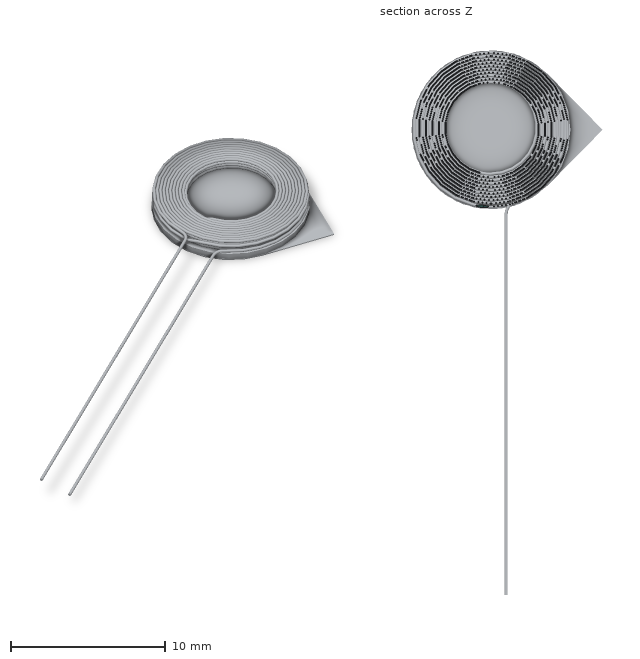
import cadquery as cq
import math

disc_diameter = 10.3
disc_radius = disc_diameter / 2
film_thickness = 0.09
film_tip_x = 7.25
disc_thickness = 0.45
disc_top = film_thickness + disc_thickness

wire_diameter = 0.2
winding_pitch = 0.2
layer_count = 4
turns_per_layer = 10
outer_winding_radius = 5.05
coil_center_y = 0.07
first_layer_z = disc_top + wire_diameter / 2
last_layer = layer_count - 1

turn_start = -math.pi / 2
turn_middle = math.pi / 2
turn_end = 3 * math.pi / 2
climb_angle = math.radians(14)

lead_x = 1.0
lead_bend_radius = 0.7
lead_end_y = disc_radius - 35.3
tinned_length = 5.0


def make_film():
    """Disc outline drawn out along two tangents to a tip on the +X axis."""
    tangent_x = disc_radius**2 / film_tip_x
    tangent_y = math.sqrt(disc_radius**2 - tangent_x**2)
    return (
        cq.Workplane("XY")
        .moveTo(film_tip_x, 0)
        .lineTo(tangent_x, tangent_y)
        .threePointArc((-disc_radius, 0), (tangent_x, -tangent_y))
        .close()
        .extrude(film_thickness)
    )


def make_disc():
    return cq.Workplane("XY", origin=(0, 0, film_thickness)).circle(disc_radius).extrude(disc_thickness)


def layer_z(layer):
    return first_layer_z + layer * winding_pitch


def arc_point(center_y, radius, angle, z):
    return cq.Vector(radius * math.cos(angle), center_y + radius * math.sin(angle), z)


def travel_direction(angle):
    return cq.Vector(-math.sin(angle), math.cos(angle), 0)


def make_arc(center_y, radius, start, end, z):
    angles = (start, (start + end) / 2, end)
    points = [arc_point(center_y, radius, angle, z) for angle in angles]
    return cq.Edge.makeThreePointArc(*points)


def make_climb(center_y, radius, z):
    """Smooth rise to the next layer at the end of a turn."""
    angles = (turn_end - climb_angle, turn_end)
    heights = (z, z + winding_pitch)
    points = [arc_point(center_y, radius, angle, height) for angle, height in zip(angles, heights)]
    return cq.Edge.makeSpline(points, tangents=[travel_direction(angle) for angle in angles])


def bend_center(center_y, radius, side):
    """Centre of the lead bend that touches a winding arc and the lead at side * lead_x."""
    x = side * (lead_x + lead_bend_radius)
    return x, center_y - math.sqrt((radius + lead_bend_radius) ** 2 - x**2)


def bend_angle(center_y, radius, side):
    """Angle, within one turn, at which the winding arc meets the lead bend."""
    x, y = bend_center(center_y, radius, side)
    angle = math.atan2(y - center_y, x)
    return angle if side > 0 else angle + 2 * math.pi


def make_lead(center_y, radius, side, z):
    """Bend, straight run and tinned end of one lead, ordered outward from the winding."""
    x, y = bend_center(center_y, radius, side)
    winding_end = arc_point(center_y, radius, bend_angle(center_y, radius, side), z)
    bend_end = cq.Vector(side * lead_x, y, z)
    center = cq.Vector(x, y, z)
    toward_middle = (winding_end + bend_end - center * 2).normalized()
    bend_middle = center + toward_middle * lead_bend_radius
    tinned_start = cq.Vector(side * lead_x, lead_end_y + tinned_length, z)
    lead_end = cq.Vector(side * lead_x, lead_end_y, z)
    return [
        cq.Edge.makeThreePointArc(winding_end, bend_middle, bend_end),
        cq.Edge.makeLine(bend_end, tinned_start),
        cq.Edge.makeLine(tinned_start, lead_end),
    ]


def make_layer(layer):
    """One spiral of half circles that meet at X = 0; even layers wind inward, odd ones outward."""
    z = layer_z(layer)
    half_turns = 2 * turns_per_layer
    radii = [outer_winding_radius - i * winding_pitch / 2 for i in range(half_turns + 1)]
    if layer % 2 == 1:
        radii.reverse()

    edges = []
    for i in range(half_turns):
        radius = (radii[i] + radii[i + 1]) / 2
        on_right = i % 2 == 0
        if on_right:
            center_y = coil_center_y + (radii[i + 1] - radii[i]) / 2
            start, end = turn_start, turn_middle
        else:
            center_y = coil_center_y + (radii[i] - radii[i + 1]) / 2
            start, end = turn_middle, turn_end

        ends_layer = i == half_turns - 1
        if layer == 0 and i == 0:
            edges += reversed(make_lead(center_y, radius, 1, z))
            start = bend_angle(center_y, radius, 1)
        if ends_layer and layer == last_layer:
            end = bend_angle(center_y, radius, -1)
        elif ends_layer:
            end = turn_end - climb_angle

        edges.append(make_arc(center_y, radius, start, end, z))
        if ends_layer and layer == last_layer:
            edges += make_lead(center_y, radius, -1, z)
        elif ends_layer:
            edges.append(make_climb(center_y, radius, z))
    return edges


def make_coil():
    edges = []
    for layer in range(layer_count):
        edges += make_layer(layer)
    path = cq.Wire.assembleEdges(edges)
    section = cq.Workplane("XZ", origin=(lead_x, lead_end_y, layer_z(0))).circle(wire_diameter / 2)
    return section.sweep(cq.Workplane(path))


film = make_film()
disc = make_disc()
coil = make_coil()

result = cq.Compound.makeCompound([film.val(), disc.val(), coil.val()])